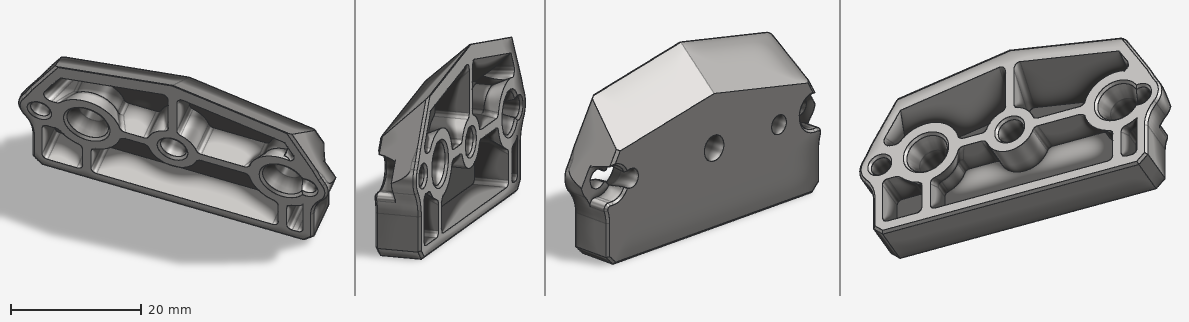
import cadquery as cq
import math

WIDTH = 50.6
THICKNESS = 7.4
HEIGHT = 28.75
EDGE_CHAMFER = 0.4

HOLE_Z = 13.3
EAR_RADIUS = 3.55
EAR_X = WIDTH / 2 - EAR_RADIUS
PIN_DIAMETER = 3.2
CENTER_DIAMETER = 4.2
SCREW_XS = (-14.0, 17.95)
SCREW_RIM_DIAMETER = 7.6
SCREW_WAIST_DIAMETER = 4.7
SCREW_WAIST_DEPTH = 2.9
OPENING_WIDTH = 1.8

RECESS_RADIUS = 2.95
RECESS_FLOOR_Y = 3.95
TIP_RADIUS = 0.9

BASE_HALF_WIDTH = 22.95
BASE_CORNER = 1.5
NECK_RADIUS = 5.85
ROOF_CORNER_X = 19.25
ROOF_PITCH = 0.19
SIDE_LEAN = math.tan(math.radians(30))
SIDE_END_Z = 18.0
EAR_FLAT_LENGTH = 1.25

ROOF_LAND = 0.15
ROOF_DROP = 0.89
SIDE_TAPER = 0.33

POCKET_DEPTH = 5.55
POCKET_RADIUS = 0.9
END_RADIUS = 1.25
ROOF_WALL = 2.6
SIDE_WALL = 2.4
BASE_WALL = 1.65
POCKET_HALF_WIDTH = BASE_HALF_WIDTH - BASE_WALL
FLOOR_WALL = 1.95
RIB = 1.4
CROSS_RIB = 1.5
SCREW_BOSS_RADIUS = 5.55
BOSS_WAIST_RADIUS = 4.25
CENTER_BOSS_RADIUS = 4.1
WEB_HALF_HEIGHT = 3.15
RIGHT_WEB_TOP_Z = 18.5

TOLERANCE = 0.005


def plane_at(y):
    """XZ work plane at depth y whose positive extrusion runs toward the back."""
    return cq.Workplane(cq.Plane(origin=(0, y, 0), xDir=(1, 0, 0), normal=(0, 1, 0)))


def on_front(x, z):
    return (x, -z)


def cylinder(x, radius, y0, y1):
    """Cylinder along Y centred on the hole row."""
    start = cq.Vector(x, y0, HOLE_Z)
    return cq.Workplane(cq.Solid.makeCylinder(radius, y1 - y0, start, cq.Vector(0, 1, 0)))


def cone(x, r0, r1, y0, y1):
    """Cone along Y centred on the hole row."""
    start = cq.Vector(x, y0, HOLE_Z)
    return cq.Workplane(cq.Solid.makeCone(r0, r1, y1 - y0, start, cq.Vector(0, 1, 0)))


def block(x0, x1, z0, z1, depth):
    return cq.Workplane().box(x1 - x0, depth, z1 - z0, centered=False).translate((x0, 0, z0))


def gable_section(roof_inset, side_inset, bottom_z, y):
    """Corners of the gable at depth y, clockwise from the apex."""
    apex = HEIGHT - roof_inset - ROOF_DROP * (y - ROOF_LAND)
    side_foot = (
        ROOF_CORNER_X + SIDE_LEAN * (HEIGHT - ROOF_PITCH * ROOF_CORNER_X)
        - side_inset - SIDE_TAPER * (y - EDGE_CHAMFER)
    )
    corner_x = (side_foot - SIDE_LEAN * apex) / (1 - SIDE_LEAN * ROOF_PITCH)
    corner_z = apex - ROOF_PITCH * corner_x
    foot_x = side_foot - SIDE_LEAN * bottom_z
    right = [(corner_x, corner_z), (foot_x, bottom_z)]
    left = [(-x, z) for x, z in reversed(right)]
    return [cq.Vector(x, y, z) for x, z in [(0, apex)] + right + left]


def sloped_gable(roof_inset, side_inset, bottom_z, y0, y1):
    """Gable whose roof and sides move inward from y0 to y1."""
    front = gable_section(roof_inset, side_inset, bottom_z, y0)
    back = gable_section(roof_inset, side_inset, bottom_z, y1)
    outlines = [front, back]
    for i in range(len(front)):
        outlines.append([front[i - 1], front[i], back[i], back[i - 1]])
    faces = [cq.Face.makeFromWires(cq.Wire.makePolygon(points, close=True)) for points in outlines]
    return cq.Workplane(cq.Solid.makeSolid(cq.Shell.makeShell(faces)))


def half_outline():
    """Right half of the plate, straight through the thickness."""
    roof_corner_z = HEIGHT - ROOF_PITCH * ROOF_CORNER_X
    side_end_x = ROOF_CORNER_X + SIDE_LEAN * (roof_corner_z - SIDE_END_Z)
    side_angle = math.atan(SIDE_LEAN)

    flat_end_x = EAR_X + EAR_RADIUS * math.cos(side_angle)
    flat_end_z = HOLE_Z + EAR_RADIUS * math.sin(side_angle)
    flat_start_x = flat_end_x - EAR_FLAT_LENGTH * math.sin(side_angle)
    flat_start_z = flat_end_z + EAR_FLAT_LENGTH * math.cos(side_angle)

    neck_x = BASE_HALF_WIDTH + NECK_RADIUS
    reach = NECK_RADIUS + EAR_RADIUS
    neck_angle = math.acos((neck_x - EAR_X) / reach)
    neck_z = HOLE_Z - reach * math.sin(neck_angle)

    def on_neck(angle):
        return on_front(neck_x - NECK_RADIUS * math.cos(angle), neck_z + NECK_RADIUS * math.sin(angle))

    return (
        plane_at(0)
        .moveTo(*on_front(0, HEIGHT))
        .lineTo(*on_front(ROOF_CORNER_X, roof_corner_z))
        .lineTo(*on_front(side_end_x, SIDE_END_Z))
        .lineTo(*on_front(flat_start_x, flat_start_z))
        .lineTo(*on_front(flat_end_x, flat_end_z))
        .threePointArc(on_front(EAR_X + EAR_RADIUS, HOLE_Z), on_neck(neck_angle))
        .threePointArc(on_neck(neck_angle / 2), on_neck(0))
        .lineTo(*on_front(BASE_HALF_WIDTH, BASE_CORNER))
        .lineTo(*on_front(BASE_HALF_WIDTH - BASE_CORNER, 0))
        .lineTo(*on_front(0, 0))
        .close()
        .extrude(THICKNESS)
    )


def chamfer_rim(body, face_selector):
    """Chamfer the outer edge of a face, leaving out the roof edges."""
    face = body.faces(face_selector).val()
    edges = []
    for edge in face.outerWire().Edges():
        run = abs(edge.endPoint().x - edge.startPoint().x)
        rise = abs(edge.endPoint().z - edge.startPoint().z)
        is_roof = edge.geomType() == "LINE" and 0 < rise < run / 2
        if not is_roof:
            edges.append(edge)
    return body.newObject(edges).chamfer(EDGE_CHAMFER)


def pin_recess(side):
    """Round-bottomed slot around a pin hole, running out through the end of the plate."""
    round_end = cylinder(side * EAR_X, RECESS_RADIUS, RECESS_FLOOR_Y, THICKNESS)
    inner_x, outer_x = sorted((side * EAR_X, side * WIDTH / 2))
    bottom_z = HOLE_Z - RECESS_RADIUS
    top_z = HOLE_Z + RECESS_RADIUS / 2
    mouth = block(inner_x, outer_x, bottom_z, top_z, THICKNESS - RECESS_FLOOR_Y)
    return round_end.union(mouth.translate((0, RECESS_FLOOR_Y, 0)))


def plate():
    half = half_outline()
    body = half.union(half.mirror("YZ")).clean()
    body = chamfer_rim(body, "<Y")
    land = block(-WIDTH, WIDTH, 0, HEIGHT, ROOF_LAND)
    body = body.intersect(sloped_gable(0, 0, 0, ROOF_LAND, THICKNESS).union(land))
    for side in (-1, 1):
        body = body.cut(pin_recess(side))
    tips = cq.selectors.BoxSelector(
        (-WIDTH, RECESS_FLOOR_Y, HOLE_Z - RECESS_RADIUS - 1), (WIDTH, THICKNESS, HOLE_Z - 0.5)
    )
    body = body.edges(tips).edges("|Y").fillet(TIP_RADIUS)
    return chamfer_rim(body, ">Y")


def screw_boss(x):
    """Boss that narrows along the cone of its screw hole and then runs straight."""
    tapered = cone(x, SCREW_BOSS_RADIUS, BOSS_WAIST_RADIUS, 0, SCREW_WAIST_DEPTH)
    return tapered.union(cylinder(x, BOSS_WAIST_RADIUS, SCREW_WAIST_DEPTH, POCKET_DEPTH))


def ribs_and_bosses():
    """Solid parts left standing in the pockets."""
    cross_z = HOLE_Z - CROSS_RIB / 2
    web_z = HOLE_Z - WEB_HALF_HEIGHT
    keep = block(-RIB / 2, RIB / 2, HOLE_Z, HEIGHT, POCKET_DEPTH)
    keep = keep.union(block(-EAR_X, EAR_X, cross_z, cross_z + CROSS_RIB, POCKET_DEPTH))
    keep = keep.union(cylinder(0, CENTER_BOSS_RADIUS, 0, POCKET_DEPTH))
    for screw_x, end_x in zip(SCREW_XS, (-WIDTH / 2, WIDTH / 2)):
        keep = keep.union(block(screw_x - RIB / 2, screw_x + RIB / 2, 0, HOLE_Z, POCKET_DEPTH))
        keep = keep.union(screw_boss(screw_x))
        x0, x1 = sorted((screw_x, end_x))
        keep = keep.union(block(x0, x1, web_z, web_z + 2 * WEB_HALF_HEIGHT, POCKET_DEPTH))
    return keep


def round_corners(pocket, radius, x0, x1, sharp_points):
    """Round the edges that run into the pocket from x0 to x1, apart from the sharp points.

    Edges along a screw boss start at the mouth or at the waist of the boss.
    """
    corners = []
    for edge in pocket.edges().vals():
        start, end = sorted((edge.startPoint(), edge.endPoint()), key=lambda point: point.y)
        runs_inward = end.y - start.y > TOLERANCE
        at_start_depth = min(start.y, abs(start.y - SCREW_WAIST_DEPTH)) < TOLERANCE
        is_sharp = any((start - point).Length < TOLERANCE for point in sharp_points)
        if runs_inward and at_start_depth and not is_sharp and x0 < start.x < x1:
            corners.append(edge)
    return pocket.newObject(corners).fillet(radius)


def lower_pockets():
    pocket = block(-POCKET_HALF_WIDTH, POCKET_HALF_WIDTH, FLOOR_WALL, HOLE_Z, POCKET_DEPTH)
    pocket = pocket.cut(ribs_and_bosses())
    cusp_drop = math.sqrt(SCREW_BOSS_RADIUS**2 - (POCKET_HALF_WIDTH - SCREW_XS[1]) ** 2)
    cusp = cq.Vector(POCKET_HALF_WIDTH, 0, HOLE_Z - cusp_drop)
    return round_corners(pocket, POCKET_RADIUS, -WIDTH, WIDTH, [cusp])


def upper_pockets():
    shape = (ROOF_WALL, SIDE_WALL, HOLE_Z)
    pocket = sloped_gable(*shape, 0, POCKET_DEPTH).cut(ribs_and_bosses())
    pocket = pocket.cut(block(SCREW_XS[1], WIDTH / 2, HOLE_Z, RIGHT_WEB_TOP_Z, POCKET_DEPTH))
    sharp_points = gable_section(*shape, 0)
    end_x = EAR_X - PIN_DIAMETER / 2
    pocket = round_corners(pocket, POCKET_RADIUS, -end_x, SCREW_XS[1] - RIB / 2, sharp_points)
    pocket = round_corners(pocket, END_RADIUS, -WIDTH, -end_x, sharp_points)
    return round_corners(pocket, END_RADIUS, end_x, WIDTH, sharp_points)


def pin_screw_slot():
    """Slot that opens the right screw hole into the pin hole beside it."""
    z0 = HOLE_Z - OPENING_WIDTH / 2
    return block(SCREW_XS[1], EAR_X, z0, z0 + OPENING_WIDTH, THICKNESS)


def through_hole(x, diameter):
    """Plain hole with a chamfered front rim."""
    radius = diameter / 2
    rim = cone(x, radius + EDGE_CHAMFER, radius, 0, EDGE_CHAMFER)
    return cylinder(x, radius, 0, THICKNESS).union(rim)


def screw_hole(x):
    """Chamfered rim, then a cone to the waist and a finer cone to the back face."""
    rim_radius = SCREW_RIM_DIAMETER / 2
    mouth_radius = rim_radius - EDGE_CHAMFER
    waist_radius = SCREW_WAIST_DIAMETER / 2
    rim = cone(x, rim_radius, mouth_radius, 0, EDGE_CHAMFER)
    upper = cone(x, mouth_radius, waist_radius, EDGE_CHAMFER, SCREW_WAIST_DEPTH)
    lower = cone(x, waist_radius, PIN_DIAMETER / 2, SCREW_WAIST_DEPTH, THICKNESS)
    return rim.union(upper).union(lower)


result = plate().cut(lower_pockets()).cut(upper_pockets())
result = result.cut(through_hole(0, CENTER_DIAMETER))
for hole_x in (-EAR_X, EAR_X):
    result = result.cut(through_hole(hole_x, PIN_DIAMETER))
for hole_x in SCREW_XS:
    result = result.cut(screw_hole(hole_x))
result = result.cut(pin_screw_slot())